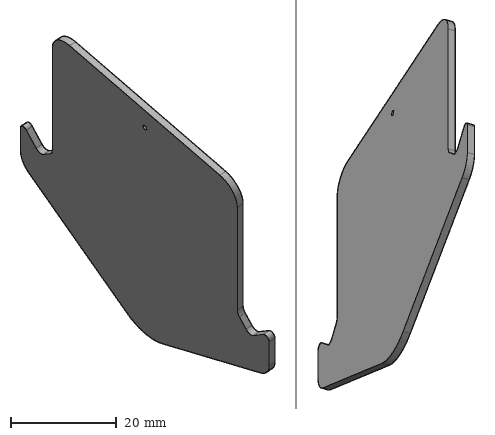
import cadquery as cq
import math

width = 71.0
height = 65.0
thickness = 1.5
half_width = width / 2

panel_half_width = 26.4
panel_corner_radius = 5.0
hole_diameter = 1.0
hole_below_top = 5.0

point_slope = math.radians(30)
point_radius = 10.0
side_radius = 5.0

hook_tip_height = 29.75
hook_tip_radius = 1.0
notch_center_x = 29.95
notch_radius = 1.5
panel_foot_radius = 2.0

point_z = -point_radius * (1 / math.cos(point_slope) - 1)
side_z = point_z + half_width * math.tan(point_slope)
hook_z = hook_tip_height + hook_tip_radius * math.sqrt(2)
notch_z = hook_z - (half_width - notch_center_x)
panel_foot_z = notch_z + (notch_center_x - panel_half_width)

right_corners = [
    (half_width, side_z, side_radius),
    (half_width, hook_z, hook_tip_radius),
    (notch_center_x, notch_z, notch_radius),
    (panel_half_width, panel_foot_z, panel_foot_radius),
    (panel_half_width, height, panel_corner_radius),
]


def sharp_plate():
    """Plate with unrounded corners, centred on Y = 0."""
    right_points = [(x, z) for x, z, _ in right_corners]
    left_points = [(-x, z) for x, z in reversed(right_points)]
    outline = [(0, point_z)] + right_points + left_points
    return cq.Workplane("XZ").polyline(outline).close().extrude(thickness / 2, both=True)


def round_corner(plate, x, z, radius):
    """Round the through-thickness edge standing at (x, z)."""
    corner = cq.selectors.NearestToPointSelector((x, 0, z))
    return plate.edges("|Y").edges(corner).fillet(radius)


def hanging_hole():
    """Cutter for the small hole near the top edge."""
    return (
        cq.Workplane("XZ")
        .center(0, height - hole_below_top)
        .circle(hole_diameter / 2)
        .extrude(thickness, both=True)
    )


plate = round_corner(sharp_plate(), 0, point_z, point_radius)
for corner_x, corner_z, corner_radius in right_corners:
    for side in (1, -1):
        plate = round_corner(plate, side * corner_x, corner_z, corner_radius)

result = plate.cut(hanging_hole())